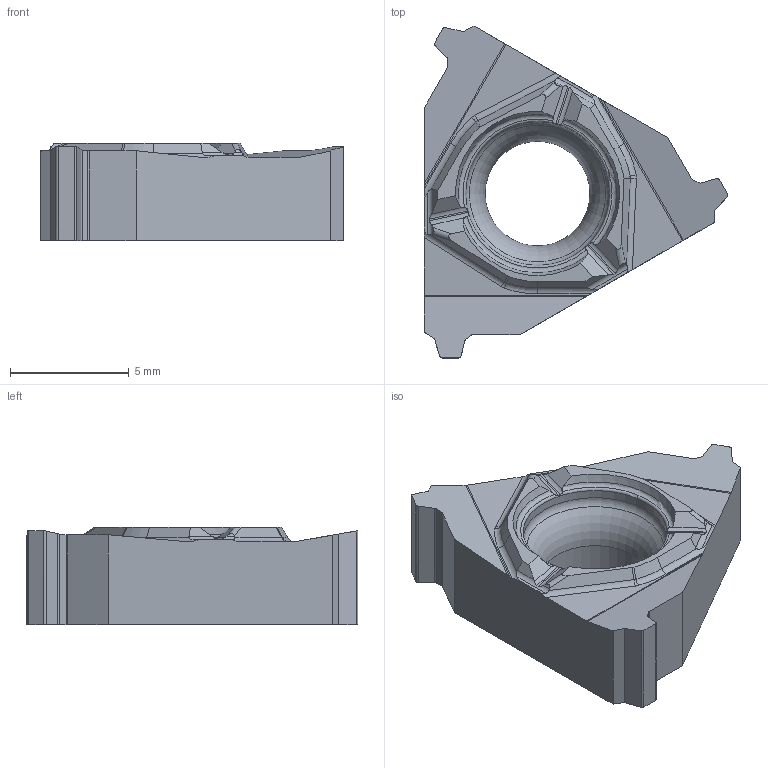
import cadquery as cq
import math

CORNER_COUNT = 3
CORNER_STEP = 360 / CORNER_COUNT

thickness = 4.1
inscribed_radius = 9.525 / 2
flank_x = -inscribed_radius

tooth_tip_y = -6.905
tip_left_x = -4.08
tip_right_x = -3.235
root_left = (-4.335, -6.10)
root_right = (-3.04, -6.13)
flank_end_y = -5.83
shoulder_y = -5.92
shoulder_start_x = -2.73
tip_radius = 0.10
root_radius = 0.12

floor_z = 3.5
valley_distance = 4.307
rake_angle = 9.9
valley_radius = 0.35
rake_reach = 3.5

wall_draft = 30
island_radius = 4.045
chord_normal_angle = 237.5
chord_distance = 3.95
foot_radius = 0.3
kink_radius = 0.45

ledge_z = 3.575
ledge_width = 0.12
ledge_foot_radius = 0.25
ledge_y_min = -2.2
ledge_y_max = 0.25

groove_angle = 192.3
groove_offset = 0.12
groove_top_width = 1.53
groove_floor_width = 0.28
groove_floor_z = 3.6
groove_radius = 0.3
groove_start = 2.0
groove_end = 6.0
groove_rim_radius = 0.2
groove_rim_point = (-4.11, -1.71)
groove_rim_z = 4.03

hole_radius = 4.4 / 2
mouth_radius = 3.45
mouth_depth = 0.324
mouth_draft = 20
seat_radius = 3.13
seat_depth = 0.45
seat_edge_radius = 0.10
neck_depth = 0.92
bell_top_radius = 2.87
bell_top_depth = 1.27
bell_bottom_depth = 2.8

CLEARANCE = 1.0
TOLERANCE = 0.01


def turned(point, angle):
    """Rotate an XY point about the hole axis."""
    a = math.radians(angle)
    x, y = point
    return (x * math.cos(a) - y * math.sin(a), x * math.sin(a) + y * math.cos(a))


def polar(radius, angle):
    return turned((radius, 0), angle)


def at_corner(shape, index):
    return shape.rotate((0, 0, 0), (0, 0, 1), index * CORNER_STEP)


def make_outline_prism():
    next_flank_normal = math.radians(180 + CORNER_STEP)
    shoulder_end_x = (
        inscribed_radius - shoulder_y * math.sin(next_flank_normal)
    ) / math.cos(next_flank_normal)
    tip_left = (tip_left_x, tooth_tip_y)
    tip_right = (tip_right_x, tooth_tip_y)
    shoulder_start = (shoulder_start_x, shoulder_y)
    corner = [
        (flank_x, flank_end_y),
        root_left,
        tip_left,
        tip_right,
        root_right,
        shoulder_start,
        (shoulder_end_x, shoulder_y),
    ]
    points = [turned(p, i * CORNER_STEP) for i in range(CORNER_COUNT) for p in corner]
    prism = cq.Workplane("XY").polyline(points).close().extrude(thickness)

    rounded = [
        (tip_left, tip_radius),
        (tip_right, tip_radius),
        (root_right, root_radius),
        (shoulder_start, root_radius),
    ]
    for i in range(CORNER_COUNT):
        for point, radius in rounded:
            x, y = turned(point, i * CORNER_STEP)
            edge = cq.selectors.NearestToPointSelector((x, y, thickness / 2))
            prism = prism.edges(edge).fillet(radius)
    return prism


def make_island():
    """Floor plate with the drafted island standing on it, foot rounded."""
    kink_turn = math.degrees(math.acos(chord_distance / island_radius))
    kink_angle = chord_normal_angle + kink_turn
    tangent_angle = 270
    next_normal = math.radians(chord_normal_angle + CORNER_STEP)
    corner_y = -island_radius
    corner_x = (chord_distance - corner_y * math.sin(next_normal)) / math.cos(next_normal)

    foot = cq.Workplane("XY").workplane(offset=floor_z)
    foot = foot.moveTo(*polar(island_radius, kink_angle))
    for i in range(CORNER_COUNT):
        turn = i * CORNER_STEP
        middle = polar(island_radius, (kink_angle + tangent_angle) / 2 + turn)
        foot = foot.threePointArc(middle, polar(island_radius, tangent_angle + turn))
        foot = foot.lineTo(*turned((corner_x, corner_y), turn))
        if i < CORNER_COUNT - 1:
            foot = foot.lineTo(*polar(island_radius, kink_angle + turn + CORNER_STEP))
    island = foot.close().extrude(thickness - floor_z, taper=wall_draft)
    for i in range(CORNER_COUNT):
        x, y = polar(island_radius, kink_angle + i * CORNER_STEP)
        kink = cq.selectors.NearestToPointSelector((x, y, (floor_z + thickness) / 2))
        island = island.edges(kink).fillet(kink_radius)

    plate_half = math.hypot(tip_left_x, tooth_tip_y) + CLEARANCE
    plate = cq.Workplane("XY").rect(2 * plate_half, 2 * plate_half).extrude(floor_z)
    inside = plate_half - CLEARANCE / 2
    foot_edges = cq.selectors.BoxSelector(
        (-inside, -inside, floor_z - TOLERANCE),
        (inside, inside, floor_z + TOLERANCE),
    )
    return plate.union(island).edges(foot_edges).fillet(foot_radius)


def make_rake_wedge():
    """Material rising from the valley line toward the lower-left tooth."""
    rake = math.radians(rake_angle)
    tangent_length = valley_radius * math.tan(rake / 2)
    valley_start = (-valley_distance + tangent_length, floor_z)
    valley_end = (
        -valley_distance - tangent_length * math.cos(rake),
        floor_z + tangent_length * math.sin(rake),
    )
    outer_y = -valley_distance - rake_reach
    outer_z = floor_z + rake_reach * math.tan(rake)
    return (
        cq.Workplane("YZ")
        .workplane(offset=flank_x - CLEARANCE)
        .moveTo(valley_start[0] + tangent_length, 0)
        .lineTo(valley_start[0] + tangent_length, floor_z)
        .lineTo(*valley_start)
        .tangentArcPoint(valley_end, relative=False)
        .lineTo(outer_y, outer_z)
        .lineTo(outer_y, 0)
        .close()
        .extrude(2 * inscribed_radius)
    )


def make_ledge_cutter():
    """Cut along the left flank: flat ledge, rounded foot and drafted wall."""
    draft = math.radians(wall_draft)
    wall_turn = math.radians(90 - wall_draft)
    tangent_length = ledge_foot_radius * math.tan(wall_turn / 2)
    ledge_x = flank_x + ledge_width
    fillet_end = (
        ledge_x + tangent_length * (1 + math.sin(draft)),
        ledge_z + tangent_length * math.cos(draft),
    )
    top_z = thickness + CLEARANCE
    top_x = fillet_end[0] + (top_z - fillet_end[1]) * math.tan(draft)
    outer_x = flank_x - CLEARANCE
    return (
        cq.Workplane("XZ")
        .workplane(offset=-ledge_y_max)
        .moveTo(outer_x, ledge_z)
        .lineTo(ledge_x, ledge_z)
        .tangentArcPoint(fillet_end, relative=False)
        .lineTo(top_x, top_z)
        .lineTo(outer_x, top_z)
        .close()
        .extrude(ledge_y_max - ledge_y_min)
    )


def make_groove_cutter():
    """V-shaped bar with a narrow flat bottom and rounded bottom edges."""
    depth = thickness - groove_floor_z
    wall_run = (groove_top_width - groove_floor_width) / 2
    rise = depth + CLEARANCE
    half_floor = groove_floor_width / 2
    half_top = half_floor + wall_run * rise / depth
    section = [
        (groove_offset - half_floor, groove_floor_z),
        (groove_offset + half_floor, groove_floor_z),
        (groove_offset + half_top, groove_floor_z + rise),
        (groove_offset - half_top, groove_floor_z + rise),
    ]
    bar = (
        cq.Workplane("YZ")
        .workplane(offset=groove_start)
        .polyline(section)
        .close()
        .extrude(groove_end - groove_start)
        .edges("|X and <Z")
        .fillet(groove_radius)
    )
    return bar.rotate((0, 0, 0), (0, 0, 1), groove_angle)


def make_hole():
    """Solid of revolution filling the stepped, bell-mouthed screw hole."""
    draft = math.radians(mouth_draft)
    mouth_bottom_radius = mouth_radius - mouth_depth * math.tan(draft)
    bell_run = bell_top_radius - hole_radius
    bell_drop = bell_bottom_depth - bell_top_depth
    bell_slope = 2 * math.atan(bell_run / bell_drop)
    neck_radius = bell_top_radius + (bell_top_depth - neck_depth) * math.tan(bell_slope / 2)
    seat_edge = (neck_radius, thickness - seat_depth - seat_edge_radius)
    return (
        cq.Workplane("XZ")
        .moveTo(0, thickness)
        .lineTo(mouth_radius, thickness)
        .lineTo(mouth_bottom_radius, thickness - mouth_depth)
        .tangentArcPoint((seat_radius, thickness - seat_depth), relative=False)
        .tangentArcPoint(seat_edge, relative=False)
        .lineTo(neck_radius, thickness - neck_depth)
        .tangentArcPoint((bell_top_radius, thickness - bell_top_depth), relative=False)
        .tangentArcPoint((hole_radius, thickness - bell_bottom_depth), relative=False)
        .lineTo(hole_radius, 0)
        .lineTo(0, 0)
        .close()
        .revolve(360, (0, 0, 0), (0, 1, 0))
    )


def round_groove_rims(body):
    """Round the edge where each groove wall runs out through the island's chord wall."""
    for i in range(CORNER_COUNT):
        x, y = turned(groove_rim_point, i * CORNER_STEP)
        rim = cq.selectors.NearestToPointSelector((x, y, groove_rim_z))
        body = body.edges(rim).fillet(groove_rim_radius)
    return body


def build_insert():
    body = make_island()
    for i in range(CORNER_COUNT):
        body = body.union(at_corner(make_rake_wedge(), i))
    body = body.intersect(make_outline_prism())
    for i in range(CORNER_COUNT):
        body = body.cut(at_corner(make_ledge_cutter(), i))
        body = body.cut(at_corner(make_groove_cutter(), i))
    body = body.cut(make_hole())
    return round_groove_rims(body)


result = build_insert()